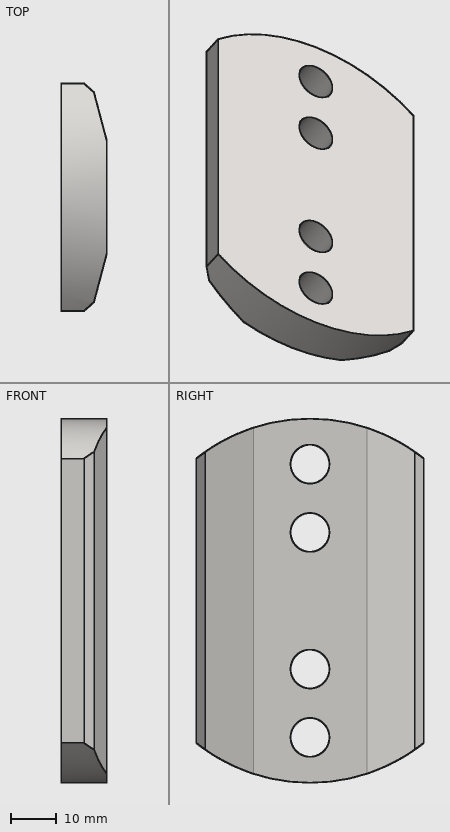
import cadquery as cq

length = 79.95
width = 50.0
thickness = 10.0

edge_thickness = thickness / 2
step_thickness = 7.2
step_half_width = 23.0
crown_half_width = width / 4

hole_diameter = 8.5
outer_hole_height = 30.0
inner_hole_height = outer_hole_height / 2


def bevelled_bar():
    """Bar along Z with a flat back at X = 0 and bevels on its +X side."""
    half_width = width / 2
    side = [
        (0, half_width),
        (edge_thickness, half_width),
        (step_thickness, step_half_width),
        (thickness, crown_half_width),
    ]
    mirrored_side = [(x, -y) for x, y in reversed(side)]
    return (
        cq.Workplane("XY")
        .polyline(side + mirrored_side)
        .close()
        .extrude(length / 2, both=True)
    )


def round_ends(body):
    """Keep only what lies inside a disc whose diameter is the plate length."""
    disc = cq.Workplane("YZ").circle(length / 2).extrude(thickness)
    return body.intersect(disc)


def drill_holes(body):
    """Cut the four holes, placed symmetrically about the plate centre."""
    heights = (inner_hole_height, outer_hole_height)
    centres = [(0, sign * height) for height in heights for sign in (-1, 1)]
    holes = (
        cq.Workplane("YZ")
        .pushPoints(centres)
        .circle(hole_diameter / 2)
        .extrude(thickness)
    )
    return body.cut(holes)


result = drill_holes(round_ends(bevelled_bar()))